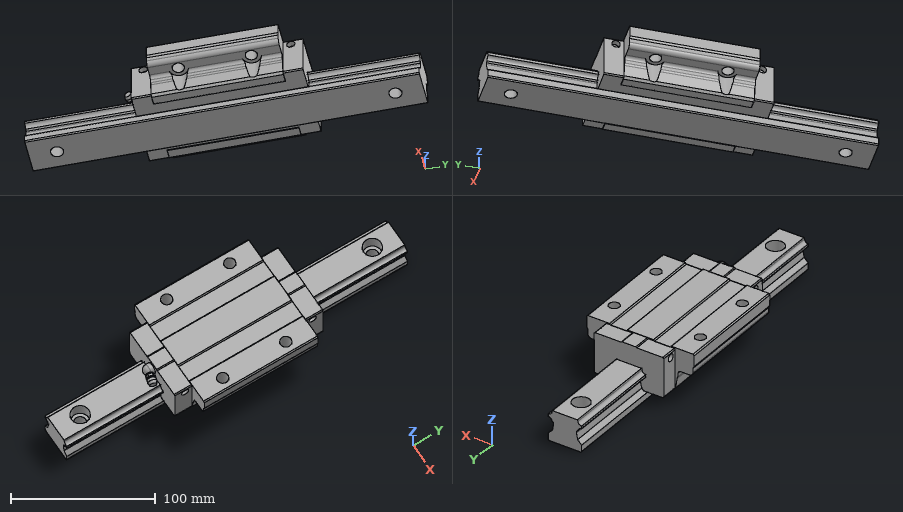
import cadquery as cq
import math


rail_length = 280.0
rail_width = 28.0
rail_height = 25.8
rail_foot_chamfer = 0.8
rail_foot_height = 6.2
rail_shoulder_height = 9.5
rail_shoulder_width = 21.3
rail_waist_width = 19.3
rail_waist_bottom = 14.5
rail_waist_top = 16.0
rail_race_depth = 3.0
rail_race_height = 2.8
rail_race_radius = 3.0
rail_head_bottom = 19.5
rail_head_top = 21.8
rail_crown_width = 21.0
rail_bolt_spacing = 240.0
rail_bolt_diameter = 9.0
rail_bolt_head_diameter = 14.0
rail_bolt_head_depth = 12.0

total_height = 42.0
block_length = 93.5
block_width = 90.0
block_bottom = 7.0
block_bottom_chamfer = 1.7
block_foot_width = 58.8
block_foot_gap = 42.8
block_foot_height = 0.8
wall_step_bottom_z = 17.0
wall_step_bottom_width = 61.3
wall_step_top_z = 18.8
wall_step_top_width = 62.5
wall_root_width = 63.3
flange_bottom = 23.8
flange_bottom_width = 88.2
flange_step_bottom = 30.5
flange_step_top = 32.2
flange_corner_radius = 3.5
flange_root_radius = 2.5
flange_top_chamfer = 0.98

channel_inner = 11.0
channel_outer = 25.8
channel_depth = 1.0
channel_slope = 0.8

mount_hole_diameter = 8.5
mount_hole_spacing_x = 72.0
mount_hole_spacing_y = 51.8
mount_relief_diameter = 14.0

carriage_length = 121.8
cap_width = 58.2
cap_bottom = 7.8
cap_top = 41.2
cap_chamfer = 0.8
cap_pad_width = 11.5
cap_pad_top = 41.7
cap_pad_slope = 0.8
cap_hole_diameter = 6.0
cap_hole_depth = 4.2
cap_hole_z = 36.7
cap_hole_y = 52.5

nipple_z = 34.7
nipple_base_diameter = 8.5
nipple_base_length = 3.0
nipple_tilt = 16.0
spout_neck_diameter = 5.3
spout_hex_flats = 6.0
spout_hex_start = 4.2
spout_hex_end = 6.2
spout_head_start = 7.3
spout_head_diameter = 6.7
spout_taper_start = 9.8
spout_tip_diameter = 5.0
spout_length = 12.0


def rail_blank():
    half = rail_width / 2
    race_x = half - rail_race_depth
    return (
        cq.Workplane("XZ")
        .moveTo(0, 0)
        .lineTo(half - rail_foot_chamfer, 0)
        .lineTo(half, rail_foot_chamfer)
        .lineTo(half, rail_foot_height)
        .lineTo(rail_shoulder_width / 2, rail_shoulder_height)
        .lineTo(rail_waist_width / 2, rail_waist_bottom)
        .lineTo(rail_waist_width / 2, rail_waist_top)
        .lineTo(race_x, rail_head_bottom - rail_race_height)
        .radiusArc((half, rail_head_bottom), rail_race_radius)
        .lineTo(half, rail_head_top)
        .radiusArc((race_x, rail_head_top + rail_race_height), rail_race_radius)
        .lineTo(rail_crown_width / 2, rail_height)
        .lineTo(0, rail_height)
        .mirrorY()
        .extrude(rail_length / 2, both=True)
    )


def make_rail():
    return (
        rail_blank()
        .faces(">Z")
        .workplane(origin=(0, 0, rail_height))
        .rarray(2.8, rail_bolt_spacing, 1, 2)
        .cboreHole(rail_bolt_diameter, rail_bolt_head_diameter, rail_bolt_head_depth)
    )


def block_blank():
    half = block_width / 2
    foot = block_foot_width / 2
    blank = (
        cq.Workplane("XZ")
        .moveTo(0, block_bottom + block_foot_height)
        .lineTo(block_foot_gap / 2, block_bottom + block_foot_height)
        .lineTo(block_foot_gap / 2, block_bottom)
        .lineTo(foot - block_bottom_chamfer, block_bottom)
        .lineTo(foot, block_bottom + block_bottom_chamfer)
        .lineTo(wall_step_bottom_width / 2, wall_step_bottom_z)
        .lineTo(wall_step_top_width / 2, wall_step_top_z)
        .lineTo(wall_root_width / 2, flange_bottom)
        .lineTo(flange_bottom_width / 2, flange_bottom)
        .lineTo(flange_bottom_width / 2, flange_step_bottom)
        .lineTo(half, flange_step_top)
        .lineTo(half, total_height - flange_top_chamfer)
        .lineTo(half - flange_top_chamfer, total_height)
        .lineTo(0, total_height)
        .mirrorY()
        .extrude(block_length / 2, both=True)
    )
    for side in (-1, 1):
        corner = cq.NearestToPointSelector((side * flange_bottom_width / 2, 0, flange_bottom))
        blank = blank.edges("|Y").edges(corner).fillet(flange_corner_radius)
        root = cq.NearestToPointSelector((side * wall_root_width / 2, 0, flange_bottom))
        blank = blank.edges("|Y").edges(root).fillet(flange_root_radius)
    return blank


def top_channels():
    floor = total_height - channel_depth
    right = (
        cq.Workplane("XZ")
        .moveTo(channel_inner, total_height)
        .lineTo(channel_inner + channel_slope, floor)
        .lineTo(channel_outer - channel_slope, floor)
        .lineTo(channel_outer, total_height)
        .close()
        .extrude(block_length / 2, both=True)
    )
    return right.union(right.mirror("YZ"))


def mount_cylinders(diameter, height):
    return (
        cq.Workplane("XY")
        .rarray(mount_hole_spacing_x, mount_hole_spacing_y, 2, 2)
        .circle(diameter / 2)
        .extrude(height)
    )


def make_block():
    return (
        block_blank()
        .cut(top_channels())
        .cut(mount_cylinders(mount_hole_diameter, total_height))
        .cut(mount_cylinders(mount_relief_diameter, flange_bottom))
    )


def make_cap(side):
    """End cap on the side (+1 or -1) of the block along Y."""
    cap_length = (carriage_length - block_length) / 2
    cap_y = side * (carriage_length - cap_length) / 2
    body = (
        cq.Workplane("XY", origin=(0, cap_y, cap_bottom))
        .box(cap_width, cap_length, cap_top - cap_bottom, centered=(True, True, False))
        .edges("|Y")
        .chamfer(cap_chamfer)
    )
    pad_half = cap_pad_width / 2
    pad_foot = pad_half + cap_pad_slope
    pad = (
        cq.Workplane("XZ", origin=(0, cap_y, 0))
        .moveTo(0, cap_top)
        .lineTo(pad_foot, cap_top)
        .lineTo(pad_half, cap_pad_top)
        .lineTo(0, cap_pad_top)
        .mirrorY()
        .extrude(cap_length / 2, both=True)
    )
    side_hole = (
        cq.Workplane("YZ", origin=(-cap_width / 2, side * cap_hole_y, cap_hole_z))
        .circle(cap_hole_diameter / 2)
        .extrude(cap_hole_depth)
    )
    side_holes = side_hole.union(side_hole.mirror("YZ"))
    return body.union(pad).cut(side_holes)


def make_carriage():
    carriage = make_block()
    for side in (-1, 1):
        carriage = carriage.union(make_cap(side))
    return carriage.cut(rail_blank())


def make_nipple():
    face_y = -carriage_length / 2
    ball_center = cq.Vector(0, face_y - nipple_base_length, nipple_z)
    base = (
        cq.Workplane("XZ", origin=(0, face_y, nipple_z))
        .circle(nipple_base_diameter / 2)
        .extrude(nipple_base_length)
    )
    ball = cq.Workplane("XY", origin=ball_center.toTuple()).sphere(nipple_base_diameter / 2)
    front = (
        cq.Workplane("XZ", origin=ball_center.toTuple())
        .rect(nipple_base_diameter, nipple_base_diameter)
        .extrude(nipple_base_diameter)
    )
    dome = ball.intersect(front)

    tilt = math.radians(nipple_tilt)
    direction = cq.Vector(math.cos(tilt), -math.sin(tilt), 0)

    def spout_plane(distance):
        return cq.Workplane(cq.Plane(ball_center + direction * distance, (0, 0, 1), direction))

    neck = spout_plane(0).circle(spout_neck_diameter / 2).extrude(spout_head_start)
    hexagon = (
        spout_plane(spout_hex_start)
        .polygon(6, spout_hex_flats, circumscribed=True)
        .extrude(spout_hex_end - spout_hex_start)
    )
    head = (
        spout_plane(spout_head_start)
        .circle(spout_head_diameter / 2)
        .extrude(spout_taper_start - spout_head_start)
    )
    tip = (
        spout_plane(spout_taper_start)
        .circle(spout_head_diameter / 2)
        .workplane(offset=spout_length - spout_taper_start)
        .circle(spout_tip_diameter / 2)
        .loft()
    )
    return base.union(dome).union(neck).union(hexagon).union(head).union(tip)


rail = make_rail()
carriage = make_carriage()
nipple = make_nipple()

result = cq.Compound.makeCompound([rail.val(), carriage.val(), nipple.val()])